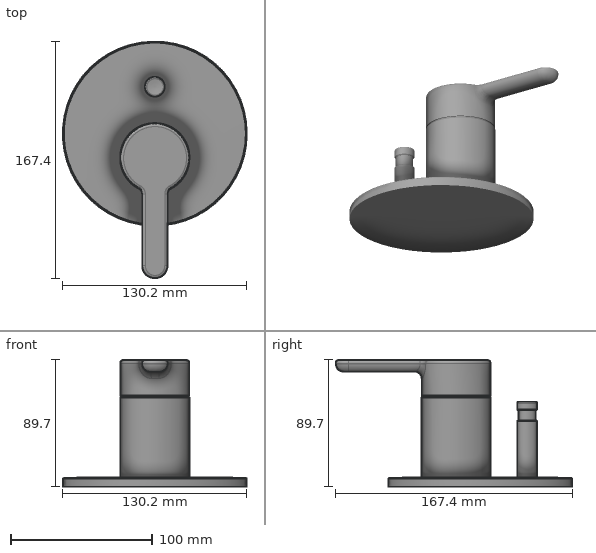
import cadquery as cq
import math

plate_radius = 65.1
plate_edge_height = 5.7
plate_bevel = 0.8
plate_crown = 0.3

body_radius = 24.6
body_offset = 17.0
body_shoulder = 63.1
body_bevel = 0.7
head_bottom = 64.6
head_top = 89.7
head_radius = 24.5
gap_radius = 23.6

lever_half_width = 9.0
lever_thickness = 8.4
overall_length = 167.4
lever_tip = overall_length - plate_radius
lever_bottom_round = 5.9
root_blend = 4.5
top_round = 2.2

pin_offset = 33.1
pin_radius = 7.0
pin_height = 60.2
pin_neck_radius = 6.2
pin_neck_bottom = 47.0
pin_neck_top = 54.0
pin_bevel = 0.7
pin_top_round = 1.0
pin_dish_radius = 5.9
pin_dish_depth = 0.7


def cylinder(radius, bottom, top, y):
    return cq.Workplane("XY", origin=(0, y, bottom)).circle(radius).extrude(top - bottom)


def make_plate():
    rim_radius = plate_radius - plate_bevel
    rim_height = plate_edge_height + plate_bevel
    mid_dome = (rim_radius / 2, rim_height + plate_crown * 3 / 4)
    profile = (
        cq.Workplane("XZ")
        .lineTo(plate_radius, 0)
        .lineTo(plate_radius, plate_edge_height)
        .lineTo(rim_radius, rim_height)
        .threePointArc(mid_dome, (0, rim_height + plate_crown))
        .close()
    )
    return profile.revolve(360, (0, 0, 0), (0, 1, 0))


def make_body():
    shoulder_top = body_shoulder + body_bevel
    body = cylinder(body_radius, 0, shoulder_top, -body_offset).faces(">Z").chamfer(body_bevel)
    return body.union(cylinder(gap_radius, shoulder_top, head_bottom, -body_offset))


def make_lever():
    straight_end = -(lever_tip - lever_half_width)
    lever = (
        cq.Workplane("XY", origin=(0, 0, head_top - lever_thickness))
        .moveTo(-lever_half_width, -body_offset)
        .lineTo(-lever_half_width, straight_end)
        .threePointArc((0, -lever_tip), (lever_half_width, straight_end))
        .lineTo(lever_half_width, -body_offset)
        .close()
        .extrude(lever_thickness)
    )
    lower_outline = lever.faces("<Z").edges("not >Y")
    return lower_outline.fillet(lever_bottom_round)


def make_head():
    head = cylinder(head_radius, head_bottom, head_top, -body_offset).union(make_lever())
    root_y = -body_offset - math.sqrt(head_radius**2 - lever_half_width**2)
    margin = 0.2
    root_box = cq.selectors.BoxSelector(
        (-lever_half_width - margin, -body_offset - head_radius - margin, head_bottom + margin),
        (lever_half_width + margin, root_y + margin, head_top - margin),
        boundingbox=True,
    )
    head = head.edges(root_box).fillet(root_blend)
    return head.faces(">Z").edges().fillet(top_round)


def make_pin():
    shank = cylinder(pin_radius, 0, pin_neck_bottom, pin_offset).faces(">Z").chamfer(pin_bevel)
    neck = cylinder(pin_neck_radius, 0, pin_neck_top, pin_offset)
    knob = cylinder(pin_radius, pin_neck_top, pin_height, pin_offset)
    knob = knob.faces("<Z").chamfer(pin_bevel).faces(">Z").edges().fillet(pin_top_round)
    dish_sphere_radius = (pin_dish_radius**2 + pin_dish_depth**2) / (2 * pin_dish_depth)
    dish_centre = pin_height - pin_dish_depth + dish_sphere_radius
    dish = cq.Workplane("XY", origin=(0, pin_offset, dish_centre)).sphere(dish_sphere_radius)
    return shank.union(neck).union(knob.cut(dish))


result = make_plate().union(make_body()).union(make_head()).union(make_pin())